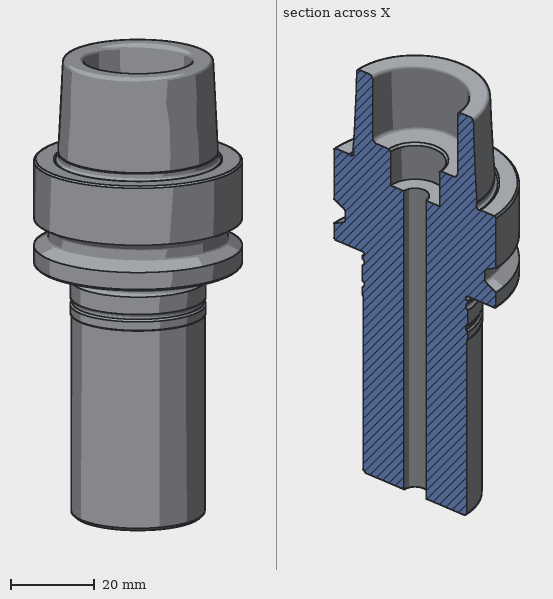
import cadquery as cq
import math

total_length = 113.0
flange_top = 88.0
flange_bottom = 62.0

taper_base_radius = 38.3 / 2
taper_base_z = 89.8
taper_slope = 0.05
rim_fillet = 1.0
taper_top_radius = taper_base_radius - taper_slope * (total_length - rim_fillet - taper_base_z)

undercut_radius = 19.0
undercut_fillet = 0.8
undercut_depth = 0.2
undercut_outer_radius = 20.2
undercut_floor_z = flange_top - undercut_depth
undercut_top_z = 89.5

flange_radius = 25.0
flange_chamfer = 0.5
gripper_floor_radius = 43.0 / 2
gripper_center_z = 70.1
gripper_mouth_width = 6.8
gripper_wall_angle = 27.0
gripper_corner_fillet = 0.9

collar_radius = 16.3
collar_bottom = 50.0
collar_step = 0.2
flange_relief_width = 1.1
flange_relief_depth = 0.6
ring_groove_depth = 0.6
upper_groove_top = 60.1
upper_groove_width = 1.9
lower_groove_top = 53.9
lower_groove_width = 1.4
lower_groove_chamfer = 0.51

body_radius = collar_radius - collar_step
body_chamfer = 0.8

bore_radius = 13.0
bore_mouth_fillet = 1.1
bore_floor_z = 94.2
bore_floor_fillet = 1.2
counterbore_radius = 7.5
counterbore_depth = 10.1
counterbore_chamfer = 0.6
through_radius = 3.4


def revolve_profile(profile):
    """Turn a closed (radius, z) outline about the Z axis."""
    return profile.close().revolve(360, (0, 0, 0), (0, 1, 0))


def make_shank_and_flange():
    """Taper, undercut and plain flange disc."""
    profile = (
        cq.Workplane("XZ")
        .moveTo(0, flange_bottom)
        .lineTo(flange_radius - flange_chamfer, flange_bottom)
        .lineTo(flange_radius, flange_bottom + flange_chamfer)
        .lineTo(flange_radius, flange_top - flange_chamfer)
        .lineTo(flange_radius - flange_chamfer, flange_top)
        .lineTo(undercut_outer_radius, flange_top)
        .lineTo(undercut_radius + undercut_fillet, undercut_floor_z)
        .radiusArc((undercut_radius, undercut_floor_z + undercut_fillet), undercut_fillet)
        .lineTo(undercut_radius, undercut_top_z)
        .lineTo(taper_base_radius, taper_base_z)
        .lineTo(taper_top_radius, total_length - rim_fillet)
        .radiusArc((taper_top_radius - rim_fillet, total_length), -rim_fillet)
        .lineTo(0, total_length)
    )
    return revolve_profile(profile)


def make_gripper_groove():
    """V-walled ring cut from the flange, with rounded floor corners."""
    slope = math.tan(math.radians(gripper_wall_angle))
    mouth_half = gripper_mouth_width / 2
    floor_half = mouth_half - (flange_radius - gripper_floor_radius) * slope
    turn = math.radians(90 - gripper_wall_angle)
    setback = gripper_corner_fillet * math.tan(turn / 2)
    arc_floor_half = floor_half - setback
    arc_wall_half = floor_half + setback * math.cos(turn)
    arc_wall_radius = gripper_floor_radius + setback * math.sin(turn)
    profile = (
        cq.Workplane("XZ")
        .moveTo(flange_radius, gripper_center_z - mouth_half)
        .lineTo(arc_wall_radius, gripper_center_z - arc_wall_half)
        .radiusArc((gripper_floor_radius, gripper_center_z - arc_floor_half), gripper_corner_fillet)
        .lineTo(gripper_floor_radius, gripper_center_z + arc_floor_half)
        .radiusArc((arc_wall_radius, gripper_center_z + arc_wall_half), gripper_corner_fillet)
        .lineTo(flange_radius, gripper_center_z + mouth_half)
    )
    return revolve_profile(profile)


def make_body():
    """Body and the slightly larger collar that carries the ring grooves."""
    profile = (
        cq.Workplane("XZ")
        .lineTo(body_radius - body_chamfer, 0)
        .lineTo(body_radius, body_chamfer)
        .lineTo(body_radius, collar_bottom - collar_step)
        .lineTo(collar_radius, collar_bottom)
        .lineTo(collar_radius, flange_bottom)
        .lineTo(0, flange_bottom)
    )
    return revolve_profile(profile)


def make_ring_groove(top_z, width, depth, lower_chamfer=0.0):
    """Hollow-floored ring cut from the collar, optionally chamfered at its lower lip."""
    bottom_z = top_z - width
    lower_radius = collar_radius - lower_chamfer
    profile = (
        cq.Workplane("XZ")
        .moveTo(collar_radius, top_z)
        .threePointArc((collar_radius - depth, (top_z + bottom_z) / 2), (lower_radius, bottom_z))
    )
    if lower_chamfer > 0:
        profile = profile.lineTo(collar_radius, bottom_z - lower_chamfer)
    return revolve_profile(profile)


def make_stepped_hole():
    """Bore, counterbore and through hole as one solid to remove."""
    counterbore_floor_z = bore_floor_z - counterbore_depth
    profile = (
        cq.Workplane("XZ")
        .lineTo(through_radius, 0)
        .lineTo(through_radius, counterbore_floor_z)
        .lineTo(counterbore_radius, counterbore_floor_z)
        .lineTo(counterbore_radius, bore_floor_z - counterbore_chamfer)
        .lineTo(counterbore_radius + counterbore_chamfer, bore_floor_z)
        .lineTo(bore_radius - bore_floor_fillet, bore_floor_z)
        .radiusArc((bore_radius, bore_floor_z + bore_floor_fillet), -bore_floor_fillet)
        .lineTo(bore_radius, total_length - bore_mouth_fillet)
        .radiusArc((bore_radius + bore_mouth_fillet, total_length), bore_mouth_fillet)
        .lineTo(0, total_length)
    )
    return revolve_profile(profile)


result = make_shank_and_flange().cut(make_gripper_groove())
result = result.union(make_body())
result = result.cut(make_ring_groove(flange_bottom, flange_relief_width, flange_relief_depth))
result = result.cut(make_ring_groove(upper_groove_top, upper_groove_width, ring_groove_depth))
result = result.cut(
    make_ring_groove(lower_groove_top, lower_groove_width, ring_groove_depth, lower_groove_chamfer)
)
result = result.cut(make_stepped_hole())